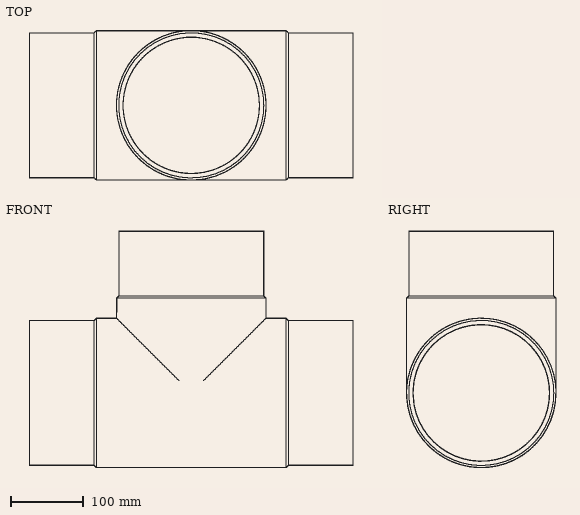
import cadquery as cq

run_length = 446.0
pipe_diameter = 200.0
bore_diameter = 187.8
body_diameter = 206.0
body_reach = 134.0

pipe_reach = run_length / 2
shoulder = (body_diameter - pipe_diameter) / 2


def run_cylinder(diameter, reach):
    """Cylinder along X, centred on the tee centre."""
    return cq.Workplane("YZ", origin=(-reach, 0, 0)).circle(diameter / 2).extrude(2 * reach)


def branch_cylinder(diameter, reach):
    """Cylinder rising along Z from the tee centre."""
    return cq.Workplane("XY").circle(diameter / 2).extrude(reach)


run_body = run_cylinder(body_diameter, body_reach).edges().chamfer(shoulder)
branch_body = branch_cylinder(body_diameter, body_reach).faces(">Z").edges().chamfer(shoulder)

run_pipe = run_cylinder(pipe_diameter, pipe_reach)
branch_pipe = branch_cylinder(pipe_diameter, pipe_reach)

run_bore = run_cylinder(bore_diameter, pipe_reach)
branch_bore = branch_cylinder(bore_diameter, pipe_reach)

outside = run_body.union(branch_body).union(run_pipe).union(branch_pipe)
result = outside.cut(run_bore).cut(branch_bore)